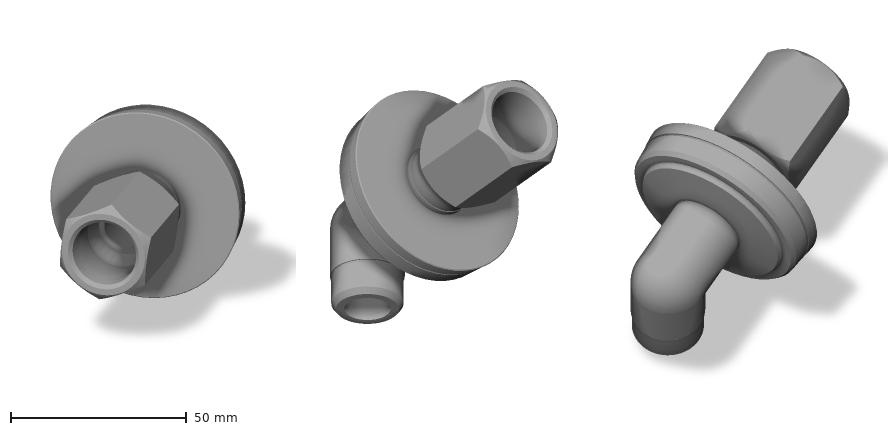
import cadquery as cq
import math


nut_length = 33.6
nut_across_flats = 25.3
nut_turn = 7.0
nut_face_radius = 12.3
nut_bore_radius = 9.4
nut_mouth_chamfer = 1.1

overall_length = 89.5
tube_radius = 10.65
neck_radius = 10.4
collar_start = 41.1
elbow_center = overall_length - tube_radius
neck_start = nut_length / 2
seat_mouth_radius = nut_bore_radius
seat_floor_radius = 8.0
seat_half_angle = 12.0
leg_step_z = -15.0
leg_end_z = -25.5
spigot_radius = 10.3
spigot_chamfer_width = 1.3
spigot_chamfer_height = 1.7
fillet_radius = 3.4
flow_bore_radius = 6.4
leg_bore_radius = 6.6
leg_bore_top = 4.4
drill_tip_half_angle = 59.0

disc_start = 42.95
disc_end = 46.9
disc_diameter = 55.9
disc_radius = disc_diameter / 2
disc_back_radius = 27.6
disc_edge_chamfer = 0.3

ring_neck_radius = 27.1
ring_front = 47.6
ring_front_radius = 27.4
ring_chamfer_start = 52.9
ring_chamfer_radius = 26.9
ring_end = 54.1
ring_end_radius = 25.95

cap_base_radius = 23.3
cap_rim_radius = 22.5
cap_rim_start = 55.75
cap_end = 57.4
cap_end_radius = 11.45


def turned(profile):
    """Revolve a closed outline of (radius, y) points about the main axis."""
    return cq.Workplane("XY").polyline(profile).close().revolve(360, (0, 0, 0), (0, 1, 0))


def rod(radius, start, end):
    """Cylinder on the main axis."""
    return turned([(0, start), (radius, start), (radius, end), (0, end)])


def make_nut():
    corner_diameter = nut_across_flats / math.cos(math.pi / 6)
    prism = (
        cq.Workplane("XZ")
        .polygon(6, corner_diameter)
        .extrude(-nut_length)
        .rotate((0, 0, 0), (0, 1, 0), 90 + nut_turn)
    )
    corner_drop = corner_diameter / 2 - nut_face_radius
    envelope = turned([
        (0, 0),
        (nut_face_radius, 0),
        (nut_face_radius + corner_drop, corner_drop),
        (nut_face_radius + corner_drop, nut_length - corner_drop),
        (nut_face_radius, nut_length),
        (0, nut_length),
    ])
    bore = turned([
        (0, 0),
        (nut_bore_radius + nut_mouth_chamfer, 0),
        (nut_bore_radius, nut_mouth_chamfer),
        (nut_bore_radius, nut_length),
        (0, nut_length),
    ])
    socket = rod(neck_radius, neck_start, nut_length)
    return prism.intersect(envelope).cut(bore).cut(socket)


def make_elbow_bend():
    """Two tubes meeting at a ball, with the inner corner rounded."""
    tube = rod(tube_radius, collar_start, elbow_center)
    leg = (
        cq.Workplane("XY", origin=(0, elbow_center, 0))
        .circle(tube_radius)
        .extrude(leg_step_z)
    )
    ball = cq.Workplane("XY", origin=(0, elbow_center, 0)).sphere(tube_radius)
    bend = tube.union(leg).union(ball)
    return bend.edges("%ELLIPSE").fillet(fillet_radius)


def make_spigot():
    spigot = (
        cq.Workplane("XY", origin=(0, elbow_center, leg_end_z))
        .circle(spigot_radius)
        .extrude(leg_step_z - leg_end_z)
    )
    return spigot.faces("<Z").chamfer(spigot_chamfer_height, spigot_chamfer_width)


def make_seat():
    """Conical recess in the end of the neck that receives a tube."""
    seat_depth = (seat_mouth_radius - seat_floor_radius) / math.tan(math.radians(seat_half_angle))
    return turned([
        (0, neck_start),
        (seat_mouth_radius, neck_start),
        (seat_floor_radius, neck_start + seat_depth),
        (0, neck_start + seat_depth),
    ])


def make_leg_bore():
    """Drilled hole up the leg, ending in a conical drill tip."""
    tip_height = leg_bore_radius / math.tan(math.radians(drill_tip_half_angle))
    return (
        cq.Workplane("XZ", origin=(0, elbow_center, 0))
        .moveTo(0, leg_end_z)
        .lineTo(leg_bore_radius, leg_end_z)
        .lineTo(leg_bore_radius, leg_bore_top)
        .lineTo(0, leg_bore_top + tip_height)
        .close()
        .revolve(360, (0, 0, 0), (0, 1, 0))
    )


def make_elbow():
    neck = rod(neck_radius, neck_start, collar_start)
    body = make_elbow_bend().union(make_spigot()).union(neck)
    main_bore = rod(flow_bore_radius, neck_start, elbow_center)
    return body.cut(main_bore).cut(make_leg_bore()).cut(make_seat())


def make_disc():
    return turned([
        (tube_radius, disc_start),
        (disc_radius - disc_edge_chamfer, disc_start),
        (disc_radius, disc_start + disc_edge_chamfer),
        (disc_back_radius, disc_end),
        (tube_radius, disc_end),
    ])


def make_ring():
    return turned([
        (tube_radius, disc_end),
        (ring_neck_radius, disc_end),
        (ring_neck_radius, ring_front),
        (ring_front_radius, ring_front),
        (ring_chamfer_radius, ring_chamfer_start),
        (ring_end_radius, ring_end),
        (tube_radius, ring_end),
    ])


def make_cap():
    return turned([
        (tube_radius, ring_end),
        (cap_base_radius, ring_end),
        (cap_rim_radius, cap_rim_start),
        (cap_end_radius, cap_end),
        (tube_radius, cap_end),
    ])


nut = make_nut()
elbow = make_elbow()
disc = make_disc()
ring = make_ring()
cap = make_cap()

result = cq.Compound.makeCompound([nut.val(), elbow.val(), disc.val(), ring.val(), cap.val()])